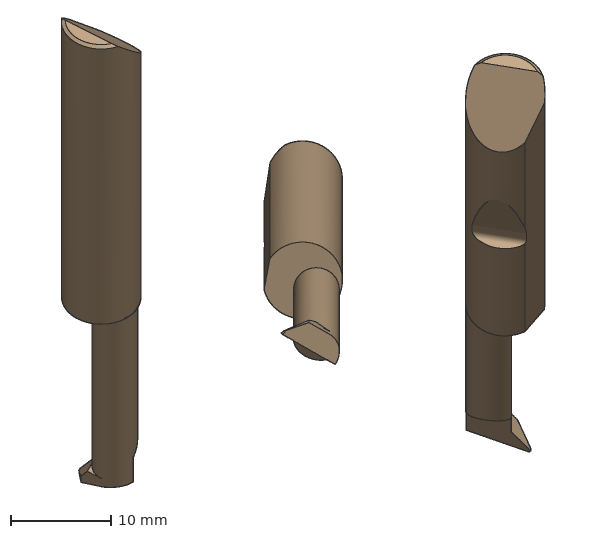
import cadquery as cq
import math

total_length = 63.5
shank_diameter = 7.95
shank_radius = shank_diameter / 2
shank_bottom = 25.35
chamfer_width = 0.4
chamfer_height = 0.25
end_bevel_start_y = -2.15

flat_first_angle = 49.4
flat_last_angle = 0.0

notch_depth = 1.2
notch_top = 48.95
notch_ramp_end = 42.1
notch_bottom = 40.6
notch_corner_radius = 0.6

neck_radius = 2.3
neck_x = shank_radius - neck_radius
relief_top = 7.75

head_top = 3.015
rake_corner_x = -0.65
tip_x = -2.6
tip_flank_z = 0.25
nose_x = -2.4
flank_clearance = 0.6
underside_angle = 18.0
underside_clearance = 0.54
heel_x = -0.8
heel_start_y = -0.25


def round_bar(x, radius, bottom, top):
    bar = cq.Workplane("XY", origin=(x, 0, bottom)).circle(radius)
    return bar.extrude(top - bottom)


def across_x(profile):
    """Extrude a closed YZ profile right through the shank."""
    return profile.close().extrude(shank_radius * 2, both=True)


def drafted_prism(rake_points, front_points):
    """Ruled solid between an XZ outline at Y = 0 and one at the front."""
    rake = cq.Workplane("XZ").polyline(rake_points).close()
    both = rake.workplane(offset=neck_radius).polyline(front_points).close()
    return both.loft(ruled=True)


def underside_z(x):
    return (x - nose_x) * math.tan(math.radians(underside_angle))


def make_shank():
    shank = round_bar(0, shank_radius, shank_bottom, total_length)
    shank = shank.faces(">Z").edges().chamfer(chamfer_height, chamfer_width)

    bevel_run = shank_diameter
    bevel = across_x(
        cq.Workplane("YZ")
        .moveTo(end_bevel_start_y, total_length)
        .lineTo(end_bevel_start_y + bevel_run, total_length - bevel_run)
        .lineTo(end_bevel_start_y + bevel_run, total_length)
    )

    flat_normal = (flat_first_angle + flat_last_angle) / 2
    half_span = math.radians(flat_first_angle - flat_last_angle) / 2
    flat_distance = shank_radius * math.cos(half_span)
    flat = (
        cq.Workplane("XY")
        .box(shank_radius, shank_diameter, total_length, centered=(False, True, False))
        .translate((flat_distance, 0, 0))
        .rotate((0, 0, 0), (0, 0, 1), 180 - flat_normal)
    )

    floor_y = shank_radius - notch_depth
    notch = across_x(
        cq.Workplane("YZ")
        .moveTo(shank_radius, notch_top)
        .lineTo(floor_y, notch_ramp_end)
        .lineTo(floor_y, notch_bottom + notch_corner_radius)
        .radiusArc((floor_y + notch_corner_radius, notch_bottom), -notch_corner_radius)
        .lineTo(shank_radius, notch_bottom)
    )
    return shank.cut(bevel).cut(flat).cut(notch)


def make_neck():
    neck = round_bar(neck_x, neck_radius, 0, shank_bottom)
    relief = across_x(
        cq.Workplane("YZ")
        .moveTo(0, 0)
        .lineTo(0, relief_top - neck_radius)
        .lineTo(neck_radius, relief_top)
        .lineTo(neck_radius, 0)
    )
    return neck.cut(relief)


def make_head():
    base_z = -shank_diameter
    rake_points = [
        (neck_x, head_top),
        (rake_corner_x, head_top),
        (tip_x, tip_flank_z),
        (nose_x, 0),
        (nose_x, base_z),
        (neck_x, base_z),
    ]
    front_points = [
        (neck_x, head_top),
        (rake_corner_x + flank_clearance, head_top),
        (tip_x + flank_clearance, tip_flank_z),
        (nose_x + flank_clearance, 0),
        (nose_x + flank_clearance, base_z),
        (neck_x, base_z),
    ]
    head = drafted_prism(rake_points, front_points)
    heel = (
        cq.Workplane("XY", origin=(0, 0, base_z))
        .polyline([(tip_x, heel_start_y), (heel_x, -neck_radius), (tip_x, -neck_radius)])
        .close()
        .extrude(head_top - base_z)
    )
    return head.cut(heel)


def make_underside_cutter():
    left_x = -shank_diameter
    right_x = shank_diameter
    base_z = 2 * left_x

    def outline(rise):
        return [
            (left_x, underside_z(left_x) + rise),
            (right_x, underside_z(right_x) + rise),
            (right_x, base_z),
            (left_x, base_z),
        ]

    return drafted_prism(outline(0), outline(underside_clearance))


shaft = make_shank().union(make_neck())
result = shaft.union(make_head()).cut(make_underside_cutter())